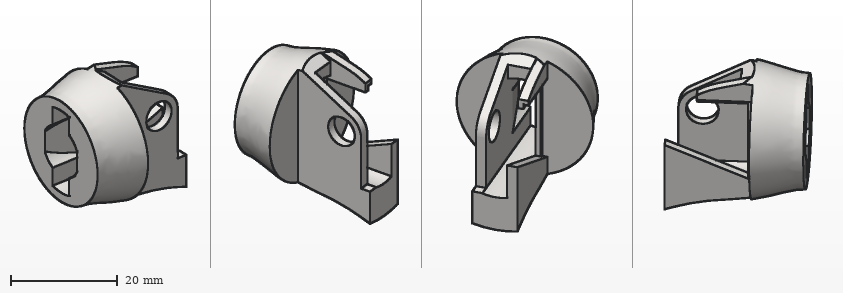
import cadquery as cq
import math

length = 26.6
collar_length = 10.0
collar_width = 27.3
collar_half_height = 13.0
jaw_half_width = 4.5
slot_half_width = 2.47
slot_radius = 8.95
reach = 58.15

skin_sections = [
    (0, 10.95, 10.95),
    (2.3, 11.25, 11.22),
    (6.05, 12.38, 12.18),
    (collar_length, collar_width / 2, collar_half_height),
    (18.5, 15.7, 13.95),
    (22.53, 16.85, 14.8),
    (length, 18.08, 16.08),
]

upper_jaw_end = 20.55
upper_jaw_tip_z = 9.6
upper_jaw_bend = (16.6, 11.28)
upper_jaw_mid_bend = (18.6, 10.58)
lower_jaw_tip_z = -1.5
lower_jaw_root_z = -8.52

recess_top = 8.6
window_margin = 1.0
recess_depth = (jaw_half_width - slot_half_width) / 2

hinge_y = 20.0
hinge_z = 2.33
plate_end = 24.55
hinge_radius = plate_end - hinge_y
hinge_arc_angle = 61.5
hinge_hole_radius = 3.05
foot_z = -8.58

top_slot_start = 12.53
mouth_radius = 5.3
mouth_half_width = 4.83


def box(x0, x1, y0, y1, z0, z1):
    return cq.Workplane("XY").box(x1 - x0, y1 - y0, z1 - z0, centered=False).translate((x0, y0, z0))


def side_profile(x):
    """Workplane at x whose local axes are Y and Z."""
    return cq.Workplane("YZ", origin=(x, 0, 0))


def along_y(y):
    """Workplane at y whose normal points along +Y."""
    return cq.Workplane(cq.Plane(origin=(0, y, 0), xDir=(1, 0, 0), normal=(0, 1, 0)))


def make_skin():
    wires = []
    for y, half_width, half_height in skin_sections:
        wires.append(along_y(y).ellipse(half_width, half_height).wires().val())
    return cq.Workplane(cq.Solid.makeLoft(wires, False))


def make_left_wall():
    """Two jaws joined at the collar; the window between them shows the hinge plate."""
    width = jaw_half_width - slot_half_width
    wall = (
        side_profile(-jaw_half_width)
        .moveTo(0, -reach)
        .lineTo(length, -reach)
        .lineTo(length, lower_jaw_tip_z)
        .lineTo(collar_length, lower_jaw_root_z)
        .lineTo(collar_length, recess_top)
        .lineTo(upper_jaw_end, recess_top)
        .lineTo(upper_jaw_end, upper_jaw_tip_z)
        .threePointArc(upper_jaw_mid_bend, upper_jaw_bend)
        .lineTo(collar_length, collar_half_height)
        .lineTo(0, collar_half_height)
        .close()
        .extrude(width)
    )
    lip_x = -jaw_half_width + recess_depth
    lip_bottom = recess_top - window_margin
    lip_front = collar_length + window_margin
    root_lip = box(lip_x, -slot_half_width, collar_length, lip_front, lower_jaw_root_z, recess_top)
    top_lip = box(lip_x, -slot_half_width, collar_length, upper_jaw_end, lip_bottom, recess_top)
    return wall.union(root_lip).union(top_lip)


def make_hinge_plate():
    slope = math.radians(hinge_arc_angle)
    tangent_y = hinge_y + hinge_radius * math.cos(slope)
    tangent_z = hinge_z + hinge_radius * math.sin(slope)
    mid_y = hinge_y + hinge_radius * math.cos(slope / 2)
    mid_z = hinge_z + hinge_radius * math.sin(slope / 2)
    plate = (
        side_profile(-slot_half_width)
        .moveTo(0, -reach)
        .lineTo(length, -reach)
        .lineTo(length, foot_z)
        .lineTo(plate_end, foot_z)
        .lineTo(plate_end, hinge_z)
        .threePointArc((mid_y, mid_z), (tangent_y, tangent_z))
        .lineTo(collar_length, collar_half_height)
        .lineTo(0, collar_half_height)
        .close()
        .extrude(slot_half_width + jaw_half_width)
    )
    hole = side_profile(0).center(hinge_y, hinge_z).circle(hinge_hole_radius).extrude(reach)
    return plate.cut(hole)


def make_slot():
    """Round-ended slot along the whole part, open upward beyond the collar."""
    bore = along_y(0).circle(slot_radius).extrude(length)
    slot = bore.intersect(box(-slot_half_width, slot_half_width, 0, length, -reach, reach))
    opening = box(-slot_half_width, slot_half_width, top_slot_start, length, 0, reach)
    return slot.union(opening)


def make_mouth():
    """Round mouth whose flat sides taper to the slot width at the collar's back face."""
    bore = along_y(0).circle(mouth_radius).extrude(collar_length)
    wedge = (
        cq.Workplane("XY", origin=(0, 0, -mouth_radius))
        .polyline([
            (-mouth_half_width, 0),
            (mouth_half_width, 0),
            (slot_half_width, collar_length),
            (-slot_half_width, collar_length),
        ])
        .close()
        .extrude(2 * mouth_radius)
    )
    return bore.intersect(wedge)


skin = make_skin()
collar = skin.intersect(box(-reach, reach, 0, collar_length, -reach, reach))
jaws = make_left_wall().union(make_hinge_plate()).intersect(skin)
result = collar.union(jaws).cut(make_slot()).cut(make_mouth())